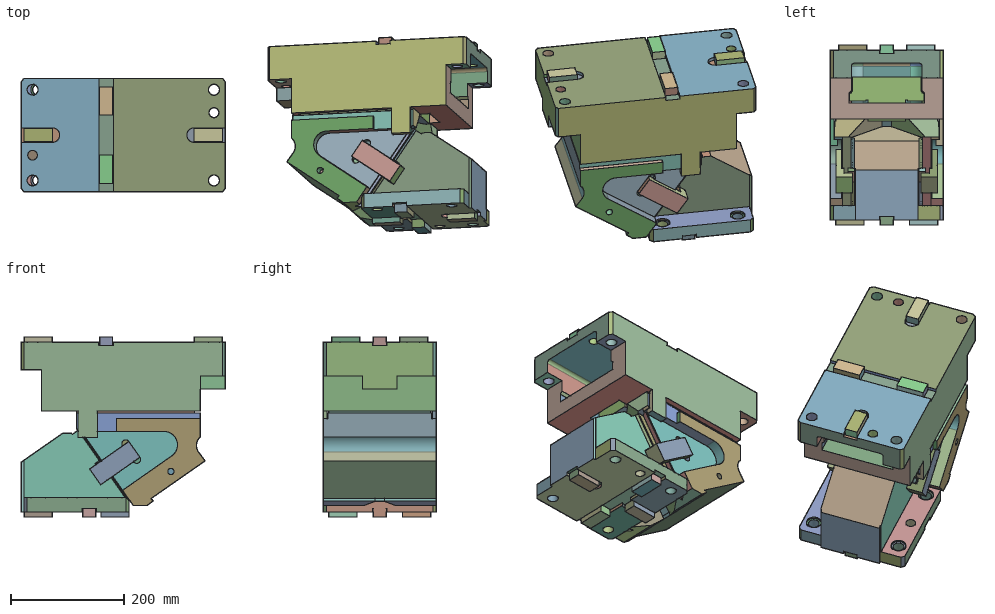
import cadquery as cq
import math


UNIT_LENGTH = 360.0
UNIT_WIDTH = 200.0
UNIT_HEIGHT = 300.0
HALF_WIDTH = UNIT_WIDTH / 2

KEY_LENGTH = 50.0
KEY_WIDTH = 23.0
KEY_HEIGHT = 9.0
SLOT_WIDTH = 25.5
SLOT_DEPTH = 6.0
KEY_INSET = 5.0

GUIDE_ANGLE = math.radians(35)
ROOF_SLOPE = 0.62
RIDGE_HEIGHT = 201.0
RIDGE_HALF_WIDTH = 8.0
GUIDE_LENGTH = 400.0

LEFT_FLANGE_Z = 251.0
RIGHT_FLANGE_Z = 240.0
HOLDER_BOTTOM_Z = 178.0
HOLDER_LEFT_X = 35.5
HOLDER_RIGHT_X = 316.0
HOLDER_CORNER_X = 4.5
HOLDER_CORNER_Y = 6.0
HOLDER_KEY_X = 149.8
HOLDER_CROSS_KEY_Y = 60.0
HOOK_LEFT_X = 100.5
HOOK_RIGHT_X = 134.5
HOOK_BOTTOM_Z = 132.0
HOOK_LIP_Z = 142.0
HOOK_LIP_HALF_GAP = 87.0
HOOK_HALF_GAP = 93.0
RIB_HALF_WIDTH = 30.0
RIB_BOTTOM_Z = 217.0
BOLT_DIAMETER = 19.0
DOWEL_DIAMETER = 17.0
BOLT_Y = 80.0
HOLDER_HOLE_INSET = 20.0
LEFT_DOWEL_Y = -35.5
RIGHT_DOWEL_Y = 39.5
CAVITY_FLOOR_Z = 207.0
CAVITY_TOP_Z = 277.0
CAVITY_STEP_Z = 226.0
CAVITY_HALF_WIDTH = 62.5
CAVITY_STEP = 4.5
CAVITY_END_X = 300.0
CAVITY_CORNER_RADIUS = 21.0
CAVITY_TOP_RADIUS = 6.0
NECK_SLOT_HALF_WIDTH = 37.0
NECK_SLOT_LEFT_X = 80.0

SLIDE_LEFT_X = 97.5
SLIDE_RIGHT_X = HOLDER_RIGHT_X
SLIDE_TOP_Z = 175.0
FLANGE_BOTTOM_Z = 142.3
FLANGE_HALF_WIDTH = 92.0
PAD_HALF_WIDTH = 90.0
PAD_RIGHT_X = 306.0
FLANGE_GUIDE_HEIGHT = 164.0
SLIDE_GUIDE_HEIGHT = 168.5
CHEEK_LEFT_X = 168.0
CHEEK_TOP_Z = 165.0
POCKET_FLOOR_Y = 80.0
POCKET_CENTER = (252.0, 118.6)
POCKET_RADIUS = FLANGE_BOTTOM_Z - POCKET_CENTER[1]
V_HALF_WIDTH = 68.0
RELIEF_OUTER_Y = 78.0
RELIEF_TOP_Z = 147.0
BITE_TOP = (SLIDE_RIGHT_X, 132.6)
BITE_MIDDLE = (309.3, 117.7)
BITE_BOTTOM = (312.6, 106.5)
HEEL = (324.5, 90.3)
NOTCH_INNER = (229.4, 24.0)
NOTCH_OUTER = (233.0, 19.8)
FOOT_RIGHT_X = 221.8
FOOT_Z = 11.3
CHEEK_HOLE = (264.0, 71.7)
CHEEK_HOLE_DIAMETER = 11.0
CHEEK_HOLE_DEPTH = 20.0
HEAD_HALF_WIDTH = 60.0
HEAD_BOTTOM_Z = 210.0
HEAD_TOP_Z = 252.5
HEAD_STEP_Z = 225.0
HEAD_STEP = 6.0
HEAD_RIGHT_X = 265.0
NECK_HALF_WIDTH = 33.0
NECK_GROOVE_DEPTH = 2.0

BAR_START = 142.5
BAR_END = 227.0
BAR_TOP = 6.9
BAR_BOTTOM = 40.9
BAR_INNER_Y = 75.6
BAR_OUTER_Y = 89.5
CLAW_INNER_Y = 60.0
CLAW_END = 155.3
CORNER_RELIEF_RADIUS = 6.8
CORNER_RELIEF_DEPTH = 10.0

DRIVER_LENGTH = 190.5
PLATE_THICKNESS = 25.5
PLATE_LEFT_X = 4.5
PLATE_CORNER = 5.8
DRIVER_HALF_WIDTH = 57.0
NOSE_HALF_WIDTH = 55.3
NOSE_TOP_Z = 88.3
SHELF_LEFT_X = 73.5
SHELF_Z = 139.5
SHELF_RIGHT_X = 88.5
ROOF_END = -60.8
SHELF_END_HEIGHT = 153.0
EAVE_HALF_WIDTH = 63.0
EAVE_UNDERCUT = 2.0
LUG_START = 156.0
LUG_TOP = 4.5
LUG_BOTTOM = 27.0
LUG_OUTER_Y = 68.0
DRIVER_KEY_X = 120.0
DRIVER_CROSS_KEY_Y = 65.0
DRIVER_BOLTS_X = (30.0, 165.0)
DRIVER_DOWEL_X = 90.0
COUNTERBORE_DIAMETER = 26.0
COUNTERBORE_DEPTH = 3.0


def guide_point(height, along):
    """X, Z of a point given square to the guide and down along it."""
    c, s = math.cos(GUIDE_ANGLE), math.sin(GUIDE_ANGLE)
    return (height * c + along * s, height * s - along * c)


def roof_height(y):
    return RIDGE_HEIGHT - ROOF_SLOPE * (abs(y) - RIDGE_HALF_WIDTH)


def block(x0, x1, y0, y1, z0, z1):
    return cq.Workplane("XY").box(x1 - x0, y1 - y0, z1 - z0, centered=False).translate((x0, y0, z0))


def side_plate(points, y0, y1):
    """An X-Z outline extruded from y0 to y1."""
    return cq.Workplane("XZ", origin=(0, y1, 0)).polyline(points).close().extrude(y1 - y0)


def guide_prism(points):
    """A (Y, height) section extruded along the guide."""
    plane = cq.Plane(
        origin=(0, 0, 0),
        xDir=(0, 1, 0),
        normal=(math.sin(GUIDE_ANGLE), 0, -math.cos(GUIDE_ANGLE)),
    )
    return cq.Workplane(plane).polyline(points).close().extrude(GUIDE_LENGTH / 2, both=True)


def mirrored(points):
    """Close a half section by repeating it on the other side of the symmetry plane."""
    return points + [(-y, h) for y, h in reversed(points)]


def both_sides(shape):
    return shape.union(shape.mirror("XZ"))


def hole(x, y, z_bottom, z_top, diameter):
    return cq.Workplane("XY", origin=(x, y, z_bottom)).circle(diameter / 2).extrude(z_top - z_bottom)


def add_keys(body, left_x, right_x, cross_x, cross_y, face_z, outward):
    """Two lengthwise and two crosswise keys in slots; outward is +1 on top, -1 underneath."""
    z_slot, z_key = face_z - outward * SLOT_DEPTH, face_z + outward * KEY_HEIGHT
    slot_low, slot_high = sorted((z_slot, face_z))
    key_low, key_high = sorted((z_slot, z_key))
    half_slot, half_key = SLOT_WIDTH / 2, KEY_WIDTH / 2

    cross_slot = (cross_x - half_slot, cross_x + half_slot, -HALF_WIDTH, HALF_WIDTH)
    body = body.cut(block(*cross_slot, slot_low, slot_high))
    keys = []
    for y in (-cross_y, cross_y):
        y_range = (y - KEY_LENGTH / 2, y + KEY_LENGTH / 2)
        keys.append(block(cross_x - half_key, cross_x + half_key, *y_range, key_low, key_high))
    for edge_x, inward in ((left_x, 1), (right_x, -1)):
        key_start = edge_x + inward * KEY_INSET
        key_end = key_start + inward * KEY_LENGTH
        slot_ends = sorted((edge_x, key_end))
        body = body.cut(block(*slot_ends, -half_slot, half_slot, slot_low, slot_high))
        body = body.cut(hole(key_end, 0, slot_low, slot_high, SLOT_WIDTH))
        key_ends = sorted((key_start, key_end))
        keys.append(block(*key_ends, -half_key, half_key, key_low, key_high))
    for key in keys:
        body = body.union(key)
    return body


def corner_cuts(x0, x1, size_x, size_y, z0, z1):
    """Wedges that chamfer the four upright corners of a full-width plate."""
    wedges = []
    for corner_x, inward in ((x0, 1), (x1, -1)):
        for side in (-1, 1):
            corner_y = side * HALF_WIDTH
            outline = [
                (corner_x, corner_y),
                (corner_x + inward * size_x, corner_y),
                (corner_x, corner_y - side * size_y),
            ]
            wedges.append(cq.Workplane("XY", origin=(0, 0, z0)).polyline(outline).close().extrude(z1 - z0))
    return wedges


def holder_cavity():
    """T-shaped space for the slide's head, open at the left end, with a slot for the neck."""
    upper = block(0, CAVITY_END_X, -CAVITY_HALF_WIDTH, CAVITY_HALF_WIDTH, CAVITY_FLOOR_Z, CAVITY_TOP_Z)
    upper = upper.edges("|Z and >X").fillet(CAVITY_CORNER_RADIUS)
    upper = upper.faces(">Z").edges("not <X").fillet(CAVITY_TOP_RADIUS)
    wide = CAVITY_HALF_WIDTH + CAVITY_STEP
    section = mirrored([
        (wide, CAVITY_FLOOR_Z),
        (wide, CAVITY_STEP_Z - CAVITY_STEP / 2),
        (CAVITY_HALF_WIDTH, CAVITY_STEP_Z + CAVITY_STEP / 2),
    ])
    lower_length = CAVITY_END_X - CAVITY_CORNER_RADIUS
    lower = cq.Workplane("YZ").polyline(section).close().extrude(lower_length)
    neck_slot = block(
        NECK_SLOT_LEFT_X, lower_length,
        -NECK_SLOT_HALF_WIDTH, NECK_SLOT_HALF_WIDTH,
        HOLDER_BOTTOM_Z, CAVITY_FLOOR_Z,
    )
    return upper.union(lower).union(neck_slot)


def make_holder():
    outline = [
        (0, LEFT_FLANGE_Z),
        (0, UNIT_HEIGHT),
        (UNIT_LENGTH, UNIT_HEIGHT),
        (UNIT_LENGTH, RIGHT_FLANGE_Z),
        (HOLDER_RIGHT_X, RIGHT_FLANGE_Z),
        (HOLDER_RIGHT_X, HOLDER_BOTTOM_Z),
        (HOOK_RIGHT_X, HOLDER_BOTTOM_Z),
        (HOOK_RIGHT_X, HOOK_BOTTOM_Z),
        (HOOK_LEFT_X, HOOK_BOTTOM_Z),
        (HOOK_LEFT_X, HOLDER_BOTTOM_Z),
        (HOLDER_LEFT_X, HOLDER_BOTTOM_Z),
        (HOLDER_LEFT_X, LEFT_FLANGE_Z),
    ]
    body = side_plate(outline, -HALF_WIDTH, HALF_WIDTH)
    for wedge in corner_cuts(0, UNIT_LENGTH, HOLDER_CORNER_X, HOLDER_CORNER_Y, RIGHT_FLANGE_Z, UNIT_HEIGHT):
        body = body.cut(wedge)

    hooks_x = (HOOK_LEFT_X, HOOK_RIGHT_X)
    body = body.cut(block(*hooks_x, -HOOK_HALF_GAP, HOOK_HALF_GAP, HOOK_LIP_Z, HOLDER_BOTTOM_Z))
    body = body.cut(block(*hooks_x, -HOOK_LIP_HALF_GAP, HOOK_LIP_HALF_GAP, HOOK_BOTTOM_Z, HOOK_LIP_Z))

    rib = block(
        HOLDER_RIGHT_X, UNIT_LENGTH, -RIB_HALF_WIDTH, RIB_HALF_WIDTH, RIB_BOTTOM_Z, RIGHT_FLANGE_Z
    )
    body = body.union(rib).cut(holder_cavity())

    for x, dowel_y in (
        (HOLDER_HOLE_INSET, LEFT_DOWEL_Y),
        (UNIT_LENGTH - HOLDER_HOLE_INSET, RIGHT_DOWEL_Y),
    ):
        for y in (-BOLT_Y, BOLT_Y):
            body = body.cut(hole(x, y, RIGHT_FLANGE_Z, UNIT_HEIGHT, BOLT_DIAMETER))
        body = body.cut(hole(x, dowel_y, RIGHT_FLANGE_Z, UNIT_HEIGHT, DOWEL_DIAMETER))
    return add_keys(body, 0, UNIT_LENGTH, HOLDER_KEY_X, HOLDER_CROSS_KEY_Y, UNIT_HEIGHT, 1)


def slide_blank():
    """Full-width blank below the flange: guide face, foot notch and concave right side."""
    c, s = math.cos(GUIDE_ANGLE), math.sin(GUIDE_ANGLE)
    along_flange = (SLIDE_GUIDE_HEIGHT * s - FLANGE_BOTTOM_Z) / c
    along_foot = (SLIDE_GUIDE_HEIGHT * s - FOOT_Z) / c
    guide_top = guide_point(SLIDE_GUIDE_HEIGHT, along_flange)
    return (
        cq.Workplane("XZ", origin=(0, HALF_WIDTH, 0))
        .moveTo(SLIDE_RIGHT_X, CHEEK_TOP_Z)
        .lineTo(*BITE_TOP)
        .threePointArc(BITE_MIDDLE, BITE_BOTTOM)
        .lineTo(*HEEL)
        .lineTo(*NOTCH_INNER)
        .lineTo(*NOTCH_OUTER)
        .lineTo(FOOT_RIGHT_X, FOOT_Z)
        .lineTo(*guide_point(SLIDE_GUIDE_HEIGHT, along_foot))
        .lineTo(*guide_top)
        .lineTo(guide_top[0], CHEEK_TOP_Z)
        .close()
        .extrude(UNIT_WIDTH)
    )


def cheek_pocket():
    """Side pocket on -Y, open towards the driver and, left of the cheek, at the top."""
    c, s = math.cos(GUIDE_ANGLE), math.sin(GUIDE_ANGLE)
    center_x, center_z = POCKET_CENTER
    center_height = center_x * c + center_z * s
    wall_along = center_x * s - center_z * c + POCKET_RADIUS
    return (
        cq.Workplane("XZ", origin=(0, -POCKET_FLOOR_Y, 0))
        .moveTo(*guide_point(0, wall_along))
        .lineTo(*guide_point(center_height, wall_along))
        .threePointArc((center_x + POCKET_RADIUS, center_z), (center_x, FLANGE_BOTTOM_Z))
        .lineTo(CHEEK_LEFT_X, FLANGE_BOTTOM_Z)
        .lineTo(CHEEK_LEFT_X, SLIDE_TOP_Z)
        .lineTo(0, SLIDE_TOP_Z)
        .close()
        .extrude(HALF_WIDTH - POCKET_FLOOR_Y)
    )


def guide_box(height0, height1, along0, along1, y0, y1):
    """A block set square to the inclined guide."""
    corners = [
        guide_point(height0, along0),
        guide_point(height1, along0),
        guide_point(height1, along1),
        guide_point(height0, along1),
    ]
    return side_plate(corners, y0, y1)


def slide_flange():
    """Top plate that the holder's hooks carry, bevelled by the guide at its lower left edge.

    A sliding pad on top bears on the holder.
    """
    flange = block(
        SLIDE_LEFT_X, SLIDE_RIGHT_X, -FLANGE_HALF_WIDTH, FLANGE_HALF_WIDTH, FLANGE_BOTTOM_Z, SLIDE_TOP_Z
    )
    pad = block(
        SLIDE_LEFT_X, PAD_RIGHT_X, -PAD_HALF_WIDTH, PAD_HALF_WIDTH, SLIDE_TOP_Z, HOLDER_BOTTOM_Z
    )
    reach = GUIDE_LENGTH / 2
    return flange.union(pad).cut(guide_box(0, FLANGE_GUIDE_HEIGHT, -reach, reach, -HALF_WIDTH, HALF_WIDTH))


def slide_head():
    """T-shaped head and neck that run in the holder's cavity."""
    section = mirrored([
        (NECK_HALF_WIDTH, SLIDE_TOP_Z),
        (NECK_HALF_WIDTH, HEAD_BOTTOM_Z + NECK_GROOVE_DEPTH),
        (NECK_SLOT_HALF_WIDTH, HEAD_BOTTOM_Z + NECK_GROOVE_DEPTH),
        (NECK_SLOT_HALF_WIDTH, HEAD_BOTTOM_Z),
        (HEAD_HALF_WIDTH + HEAD_STEP, HEAD_BOTTOM_Z),
        (HEAD_HALF_WIDTH + HEAD_STEP, HEAD_STEP_Z - HEAD_STEP / 2),
        (HEAD_HALF_WIDTH, HEAD_STEP_Z + HEAD_STEP / 2),
        (HEAD_HALF_WIDTH, HEAD_TOP_Z),
    ])
    plane = cq.Workplane("YZ", origin=(SLIDE_LEFT_X, 0, 0))
    return plane.polyline(section).close().extrude(HEAD_RIGHT_X - SLIDE_LEFT_X)


def v_groove():
    """Roof-shaped groove that fits over the driver."""
    return guide_prism(mirrored([
        (V_HALF_WIDTH, 0),
        (V_HALF_WIDTH, roof_height(V_HALF_WIDTH)),
        (RIDGE_HALF_WIDTH, RIDGE_HEIGHT),
    ]))


def eave_relief():
    """Clearance beside the driver's eave on +Y, sloped like the roof."""
    rise = SLIDE_GUIDE_HEIGHT - roof_height(RELIEF_OUTER_Y)
    relief = guide_prism([
        (EAVE_HALF_WIDTH, 0),
        (EAVE_HALF_WIDTH, roof_height(EAVE_HALF_WIDTH) + rise),
        (RELIEF_OUTER_Y, SLIDE_GUIDE_HEIGHT),
        (RELIEF_OUTER_Y, 0),
    ])
    return relief.intersect(block(0, UNIT_LENGTH, -HALF_WIDTH, HALF_WIDTH, 0, RELIEF_TOP_Z))


def return_bar():
    """Bar on -Y whose claw reaches behind the driver's eave."""
    bar = guide_box(BAR_START, BAR_END, BAR_TOP, BAR_BOTTOM, -BAR_OUTER_Y, -BAR_INNER_Y)
    claw = guide_box(BAR_START, CLAW_END, BAR_TOP, BAR_BOTTOM, -BAR_INNER_Y, -CLAW_INNER_Y)
    return bar.union(claw)


def bar_corner_reliefs():
    """Round pockets on -Y at the inner corners of the bar's seat."""
    corners = [guide_point(BAR_END - CORNER_RELIEF_RADIUS, along) for along in (BAR_TOP, BAR_BOTTOM)]
    plane = cq.Workplane("XZ", origin=(0, -POCKET_FLOOR_Y, 0)).pushPoints(corners)
    return plane.circle(CORNER_RELIEF_RADIUS).extrude(-CORNER_RELIEF_DEPTH)


def cheek_hole():
    plane = cq.Workplane("XZ", origin=(0, -HALF_WIDTH, 0)).moveTo(*CHEEK_HOLE)
    return plane.circle(CHEEK_HOLE_DIAMETER / 2).extrude(-CHEEK_HOLE_DEPTH)


def make_slide():
    body = slide_blank().cut(both_sides(cheek_pocket())).union(slide_flange())
    body = body.cut(v_groove()).cut(both_sides(eave_relief()))
    body = body.cut(both_sides(bar_corner_reliefs())).cut(both_sides(cheek_hole()))
    return body.union(both_sides(return_bar())).union(slide_head())


def driver_block():
    """Wedge-shaped block that carries the roof with its overhanging eaves."""
    side = [
        (0, 0),
        (0, NOSE_TOP_Z),
        (SHELF_LEFT_X, SHELF_Z),
        (SHELF_RIGHT_X, SHELF_Z),
        guide_point(SHELF_END_HEIGHT, ROOF_END),
        guide_point(RIDGE_HEIGHT, ROOF_END),
        guide_point(RIDGE_HEIGHT, GUIDE_LENGTH / 2),
    ]
    eave_height = roof_height(EAVE_HALF_WIDTH)
    section = mirrored([
        (DRIVER_HALF_WIDTH, -UNIT_WIDTH),
        (DRIVER_HALF_WIDTH, eave_height - EAVE_UNDERCUT),
        (EAVE_HALF_WIDTH, eave_height),
        (RIDGE_HALF_WIDTH, RIDGE_HEIGHT),
    ])
    body = side_plate(side, -HALF_WIDTH, HALF_WIDTH).intersect(guide_prism(section))
    body = body.intersect(block(0, DRIVER_LENGTH, -HALF_WIDTH, HALF_WIDTH, 0, UNIT_HEIGHT))
    nose_space = block(0, PLATE_LEFT_X, NOSE_HALF_WIDTH, HALF_WIDTH, 0, UNIT_HEIGHT)
    return body.cut(both_sides(nose_space))


def driver_plate():
    plate = block(PLATE_LEFT_X, DRIVER_LENGTH, -HALF_WIDTH, HALF_WIDTH, 0, PLATE_THICKNESS)
    for wedge in corner_cuts(PLATE_LEFT_X, DRIVER_LENGTH, PLATE_CORNER, PLATE_CORNER, 0, PLATE_THICKNESS):
        plate = plate.cut(wedge)
    reach = GUIDE_LENGTH / 2
    bevel_height = roof_height(EAVE_HALF_WIDTH)
    plate = plate.cut(guide_box(bevel_height, GUIDE_LENGTH, -reach, reach, -HALF_WIDTH, HALF_WIDTH))
    for y in (-BOLT_Y, BOLT_Y):
        for x in DRIVER_BOLTS_X:
            plate = plate.cut(hole(x, y, 0, PLATE_THICKNESS, BOLT_DIAMETER))
            counterbore_floor = PLATE_THICKNESS - COUNTERBORE_DEPTH
            plate = plate.cut(hole(x, y, counterbore_floor, PLATE_THICKNESS, COUNTERBORE_DIAMETER))
    return plate.cut(hole(DRIVER_DOWEL_X, -BOLT_Y, 0, PLATE_THICKNESS, DOWEL_DIAMETER))


def return_lug():
    """Lug on -Y, under the eave, that the claw of the slide's return bar can pull on."""
    lug_end = roof_height(EAVE_HALF_WIDTH)
    return guide_box(LUG_START, lug_end, LUG_TOP, LUG_BOTTOM, -LUG_OUTER_Y, -DRIVER_HALF_WIDTH)


def make_driver():
    body = driver_block().union(driver_plate()).union(both_sides(return_lug()))
    return add_keys(body, 0, DRIVER_LENGTH + KEY_INSET, DRIVER_KEY_X, DRIVER_CROSS_KEY_Y, 0, -1)


holder = make_holder()
slide = make_slide()
driver = make_driver()

result = cq.Compound.makeCompound([holder.val(), slide.val(), driver.val()])